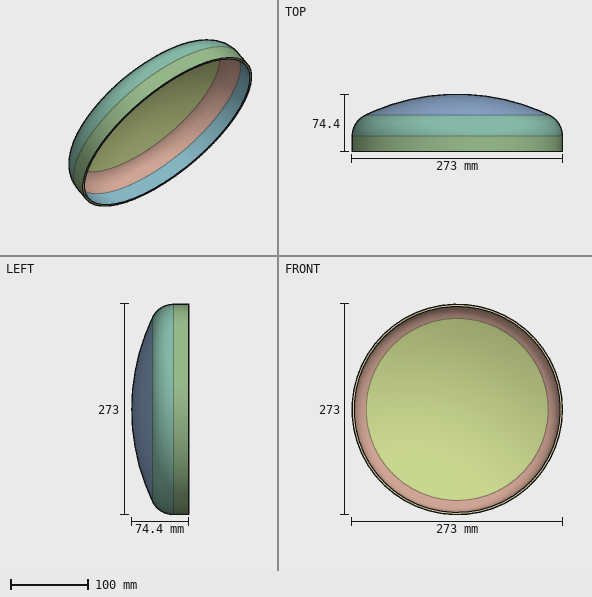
import cadquery as cq
import math

outer_diameter = 273.0
wall = 3.0
flange_height = 20.0
inner_crown_radius = outer_diameter
inner_knuckle_radius = 0.1 * outer_diameter

outer_radius = outer_diameter / 2
inner_radius = outer_radius - wall
outer_crown_radius = inner_crown_radius + wall
outer_knuckle_radius = inner_knuckle_radius + wall

knuckle_center_x = inner_radius - inner_knuckle_radius
center_distance = inner_crown_radius - inner_knuckle_radius
tangent_angle = math.asin(knuckle_center_x / center_distance)
knuckle_middle_angle = (tangent_angle + math.pi / 2) / 2
crown_center_y = flange_height - center_distance * math.cos(tangent_angle)


def knuckle_point(radius, angle):
    """Point on a knuckle arc of the given radius."""
    return (
        knuckle_center_x + radius * math.sin(angle),
        flange_height + radius * math.cos(angle),
    )


def revolve_about_axis(profile):
    """Full turn of a closed XY profile about the part axis."""
    return profile.revolve(360, (0, 0, 0), (0, 1, 0))


def crown_ball(radius):
    """Ball around the common centre of the crown skins."""
    return cq.Workplane("XY").sphere(radius).translate((0, crown_center_y, 0))


def make_rim():
    """Straight flange and knuckle, ending square to the wall where the crown begins."""
    profile = (
        cq.Workplane("XY")
        .moveTo(inner_radius, 0)
        .lineTo(outer_radius, 0)
        .lineTo(outer_radius, flange_height)
        .threePointArc(
            knuckle_point(outer_knuckle_radius, knuckle_middle_angle),
            knuckle_point(outer_knuckle_radius, tangent_angle),
        )
        .lineTo(*knuckle_point(inner_knuckle_radius, tangent_angle))
        .threePointArc(
            knuckle_point(inner_knuckle_radius, knuckle_middle_angle),
            (inner_radius, flange_height),
        )
        .close()
    )
    return revolve_about_axis(profile)


def make_crown():
    """Spherical shell bounded by a cone from the crown centre through the knuckle tangent."""
    cone_height = 1.2 * outer_crown_radius
    cone_radius = cone_height * math.tan(tangent_angle)
    cone_base_y = crown_center_y + cone_height
    cone_profile = (
        cq.Workplane("XY")
        .moveTo(0, crown_center_y)
        .lineTo(cone_radius, cone_base_y)
        .lineTo(0, cone_base_y)
        .close()
    )
    filled_crown = revolve_about_axis(cone_profile).intersect(crown_ball(outer_crown_radius))
    return filled_crown.cut(crown_ball(inner_crown_radius))


result = make_rim().union(make_crown())